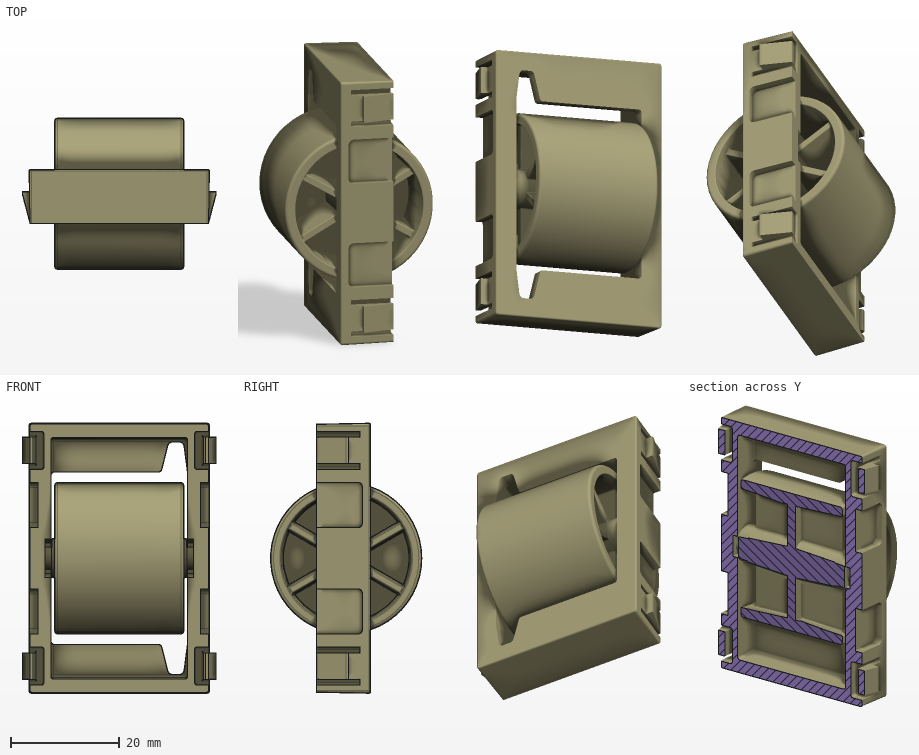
import cadquery as cq
import math

FRAME_WIDTH = 33.4
FRAME_HEIGHT = 50.0
BACK_Y = 4.5
FRONT_Y = -5.5
FRAME_DEPTH = BACK_Y - FRONT_Y
FRAME_DRAFT = 1.1
FRAME_CORNER_RADIUS = 0.5
BACK_EDGE_RADIUS = 0.3
SIDE_X = FRAME_WIDTH / 2

WINDOW_WIDTH = 25.25
WINDOW_HEIGHT = 44.7
WINDOW_BACK_HEIGHT = 44.1
WINDOW_RADIUS = 0.45
PLATE_THICKNESS = 2.5
PLATE_EDGE_Z = 15.95
PLATE_FRONT_Y = BACK_Y - PLATE_THICKNESS

NOTCH_END_Z = 21.5
NOTCH_MOUTH_X = 7.75
NOTCH_END_X = (9.15, 11.9)
NOTCH_END_RADIUS = 0.85
NOTCH_MOUTH_RADIUS = 0.6

POCKET_DEPTH = 1.7
POCKET_HEIGHT = 8.4
POCKET_CENTER_Z = 9.85
POCKET_END_Y = 3.05
POCKET_RADIUS = 1.0

CLIP_CENTER_Z = 19.95
RECESS_HEIGHT = 7.05
RECESS_DEPTH = 2.75
RECESS_END_Y = 2.6
RECESS_RADIUS = 0.5
RECESS_END_RADIUS = 0.15
ARM_HEIGHT = 4.9
ARM_INNER_X = 15.6
ARM_TIP_INNER_X = 15.95
ARM_TIP_OUTER_X = 16.5
ARM_TIP_TAPER_LENGTH = 0.35
ARM_ROOT_RADIUS = 0.3
BARB_X = 17.95
BARB_Y = 0.4
BARB_LAND = 0.4

AXLE_RADIUS = 2.05
AXLE_LENGTH = 27.4
SLOT_MOUTH_HEIGHT = 7.2
SLOT_STEP_HEIGHT = 5.7
SLOT_MOUTH_DEPTH = 2.5

ROLLER_RADIUS = 14.0
ROLLER_LENGTH = 23.9
ROLLER_EDGE_RADIUS = 0.55
RIM_INNER_RADIUS = 12.1
RIM_EDGE_RADIUS = 0.2
HUB_RADIUS = 3.6
HUB_LENGTH = 25.0
SPOKE_COUNT = 6
SPOKE_WIDTH = 1.3
SPOKE_RECESS = 1.85
SPOKE_EDGE_RADIUS = 0.15
SPOKE_END_RADIUS = 0.25
SPOKE_FACE_X = ROLLER_LENGTH / 2 - SPOKE_RECESS
INNER_DRAFT = 2.5
INNER_SLOPE = math.tan(math.radians(INNER_DRAFT))
WEB_THICKNESS = 2.0
WEB_X = WEB_THICKNESS / 2


def block(x_range, y_range, z_range):
    """Axis-aligned box between the given limits."""
    size = [high - low for low, high in (x_range, y_range, z_range)]
    corner = (x_range[0], y_range[0], z_range[0])
    return cq.Workplane("XY").box(*size, centered=False).translate(corner)


def centred_cylinder(radius, length):
    """Cylinder along the X axis, centred on the origin."""
    return cq.Workplane("YZ", origin=(-length / 2, 0, 0)).circle(radius).extrude(length)


def frame_blank():
    """Drafted block with rounded corners, enlarged so that it is full size at the rounded back edge."""
    draft = math.radians(FRAME_DRAFT)
    growth = 2 * BACK_EDGE_RADIUS * (math.tan(draft) + 1 / math.cos(draft) - 1)
    outline = cq.Sketch().rect(FRAME_WIDTH + growth, FRAME_HEIGHT + growth)
    outline = outline.vertices().fillet(FRAME_CORNER_RADIUS)
    blank = cq.Workplane("XZ", origin=(0, BACK_Y, 0)).placeSketch(outline)
    blank = blank.extrude(FRAME_DEPTH, taper=FRAME_DRAFT)
    return blank.faces(">Y").edges().fillet(BACK_EDGE_RADIUS)


def window_cutter():
    """Front window, narrowing in height down to the plates, plus the opening between the plates."""
    front = (
        cq.Workplane("YZ", origin=(-WINDOW_WIDTH / 2, 0, 0))
        .moveTo(FRONT_Y, -WINDOW_HEIGHT / 2)
        .lineTo(PLATE_FRONT_Y, -WINDOW_BACK_HEIGHT / 2)
        .lineTo(PLATE_FRONT_Y, WINDOW_BACK_HEIGHT / 2)
        .lineTo(FRONT_Y, WINDOW_HEIGHT / 2)
        .close()
        .extrude(WINDOW_WIDTH)
    )
    front = front.edges("|Z and >Y").fillet(WINDOW_RADIUS)
    front = front.edges("not #Y").edges("not >Y").fillet(WINDOW_RADIUS)
    opening = block(
        (-WINDOW_WIDTH / 2, WINDOW_WIDTH / 2),
        (FRONT_Y, BACK_Y),
        (-PLATE_EDGE_Z, PLATE_EDGE_Z),
    )
    return front.union(opening)


def notch_cutter():
    """Tapered notch through the upper plate."""
    wall_x = WINDOW_WIDTH / 2
    notch = (
        cq.Workplane("XZ", origin=(0, BACK_Y, 0))
        .moveTo(NOTCH_MOUTH_X, PLATE_EDGE_Z)
        .lineTo(NOTCH_END_X[0], NOTCH_END_Z)
        .lineTo(NOTCH_END_X[1], NOTCH_END_Z)
        .lineTo(wall_x, PLATE_EDGE_Z)
        .close()
        .extrude(PLATE_THICKNESS + WINDOW_RADIUS)
    )
    return notch.edges("|Y and >Z").fillet(NOTCH_END_RADIUS)


def side_pocket_cutter(center_z):
    """Pocket in the +X side wall with rounded inner corners."""
    pocket = block(
        (SIDE_X - POCKET_DEPTH, SIDE_X),
        (FRONT_Y, POCKET_END_Y),
        (center_z - POCKET_HEIGHT / 2, center_z + POCKET_HEIGHT / 2),
    )
    return pocket.edges("|X and >Y").fillet(POCKET_RADIUS)


def clip_arm(center_z):
    """Space of the cantilever arm inside its recess, with a thinned tip."""
    return (
        cq.Workplane("XY", origin=(0, 0, center_z - ARM_HEIGHT / 2))
        .moveTo(ARM_INNER_X, RECESS_END_Y)
        .lineTo(ARM_INNER_X, FRONT_Y + ARM_TIP_TAPER_LENGTH)
        .lineTo(ARM_TIP_INNER_X, FRONT_Y)
        .lineTo(SIDE_X, FRONT_Y)
        .lineTo(SIDE_X, RECESS_END_Y)
        .close()
        .extrude(ARM_HEIGHT)
    )


def clip_barb(center_z):
    """Ramped barb on the outer side of a clip arm."""
    return (
        cq.Workplane("XY", origin=(0, 0, center_z - ARM_HEIGHT / 2))
        .moveTo(ARM_TIP_INNER_X, FRONT_Y)
        .lineTo(ARM_TIP_OUTER_X, FRONT_Y)
        .lineTo(BARB_X, BARB_Y - BARB_LAND)
        .lineTo(BARB_X, BARB_Y)
        .lineTo(ARM_TIP_INNER_X, BARB_Y)
        .close()
        .extrude(ARM_HEIGHT)
    )


def clip_recess_cutter(center_z):
    """U-shaped recess that frees a clip arm from the +X wall, rounded at its end and the arm's root."""
    recess = block(
        (SIDE_X - RECESS_DEPTH, SIDE_X),
        (FRONT_Y, RECESS_END_Y),
        (center_z - RECESS_HEIGHT / 2, center_z + RECESS_HEIGHT / 2),
    )
    recess = recess.edges("|Y and <X").fillet(RECESS_RADIUS)
    recess = recess.faces(">Y").edges("not >X").fillet(RECESS_END_RADIUS)
    recess = recess.cut(clip_arm(center_z))
    margin = RECESS_END_RADIUS
    arm_root = cq.selectors.BoxSelector(
        (ARM_INNER_X - margin, RECESS_END_Y - margin, center_z - ARM_HEIGHT / 2 - margin),
        (SIDE_X, RECESS_END_Y + margin, center_z + ARM_HEIGHT / 2 + margin),
    )
    return recess.edges(arm_root).edges("#Y").fillet(ARM_ROOT_RADIUS)


def axle_slot_cutter():
    """Slot in the +X side wall: flared mouth, step, then a round-ended channel for the axle."""
    inner_x = WINDOW_WIDTH / 2
    depth = AXLE_LENGTH / 2 - inner_x
    step_y = FRONT_Y + SLOT_MOUTH_DEPTH
    mouth = (
        cq.Workplane("YZ", origin=(inner_x, 0, 0))
        .moveTo(FRONT_Y, -SLOT_MOUTH_HEIGHT / 2)
        .lineTo(step_y, -SLOT_STEP_HEIGHT / 2)
        .lineTo(step_y, SLOT_STEP_HEIGHT / 2)
        .lineTo(FRONT_Y, SLOT_MOUTH_HEIGHT / 2)
        .close()
        .extrude(depth)
    )
    channel = (
        cq.Workplane("YZ", origin=(inner_x, 0, 0))
        .moveTo(FRONT_Y, -AXLE_RADIUS)
        .lineTo(0, -AXLE_RADIUS)
        .threePointArc((AXLE_RADIUS, 0), (0, AXLE_RADIUS))
        .lineTo(FRONT_Y, AXLE_RADIUS)
        .close()
        .extrude(depth)
    )
    return mouth.union(channel)


def round_plate_corners(frame):
    """Round each plate edge where it meets the -X wall and where it turns into its notch."""
    for sign in (1, -1):
        for x in (-WINDOW_WIDTH / 2, NOTCH_MOUTH_X):
            corner = (x, (PLATE_FRONT_Y + BACK_Y) / 2, sign * PLATE_EDGE_Z)
            edge = cq.selectors.NearestToPointSelector(corner)
            frame = frame.edges("|Y").edges(edge).fillet(NOTCH_MOUTH_RADIUS)
    return frame


def make_frame():
    """Frame with its window, plates, side pockets, snap clips and axle slots."""
    frame = frame_blank().cut(window_cutter())
    notch = notch_cutter()
    frame = frame.cut(notch).cut(notch.mirror("XY"))
    frame = round_plate_corners(frame)
    for sign in (1, -1):
        pocket = side_pocket_cutter(sign * POCKET_CENTER_Z)
        recess = clip_recess_cutter(sign * CLIP_CENTER_Z)
        barb = clip_barb(sign * CLIP_CENTER_Z)
        for cutter in (pocket, recess):
            frame = frame.cut(cutter).cut(cutter.mirror("YZ"))
        frame = frame.union(barb).union(barb.mirror("YZ"))
    slot = axle_slot_cutter()
    return frame.cut(slot).cut(slot.mirror("YZ"))


def drafted_plug(base_radius, end_radius, end_x):
    """Cone frustum about the X axis, from the web out to end_x."""
    profile = cq.Workplane("XZ").polyline(
        [(WEB_X, 0), (WEB_X, base_radius), (end_x, end_radius), (end_x, 0)]
    )
    return profile.close().revolve(360, (0, 0, 0), (1, 0, 0))


def hub_end():
    """Drafted +X end of the hub, widening from its tip down to the web."""
    tip_x = HUB_LENGTH / 2
    base_radius = HUB_RADIUS + (tip_x - WEB_X) * INNER_SLOPE
    return drafted_plug(base_radius, HUB_RADIUS, tip_x)


def rim_bore():
    """Drafted bore of the +X half of the rim, narrowing from the rim face down to the web."""
    face_x = ROLLER_LENGTH / 2
    floor_radius = RIM_INNER_RADIUS - (face_x - WEB_X) * INNER_SLOPE
    return drafted_plug(floor_radius, RIM_INNER_RADIUS, face_x)


def spoke_pair():
    """Drafted bar across the +X half of the roller: two opposite spokes lying along Z."""
    length = RIM_INNER_RADIUS + ROLLER_RADIUS - ROLLER_EDGE_RADIUS
    bar = cq.Workplane("YZ", origin=(SPOKE_FACE_X, 0, 0)).rect(SPOKE_WIDTH, length)
    bar = bar.extrude(WEB_X - SPOKE_FACE_X, taper=-INNER_DRAFT)
    return bar.edges(">X and |Z").fillet(SPOKE_EDGE_RADIUS)


def is_spoke_end(edge):
    """True for the edges along the roller's depth where spokes run into the hub or the rim."""
    length = edge.BoundingBox().xlen
    return (SPOKE_FACE_X - WEB_X) / 2 < length < SPOKE_FACE_X - WEB_X / 2


def make_roller():
    """Roller with a central web and, on each side of it, a hub end and six spokes."""
    roller = centred_cylinder(ROLLER_RADIUS, ROLLER_LENGTH).edges("%CIRCLE").fillet(ROLLER_EDGE_RADIUS)
    bore = rim_bore()
    roller = roller.cut(bore).cut(bore.mirror("YZ"))
    bore_edges = roller.faces("<X or >X").edges("%CIRCLE").edges(cq.selectors.RadiusNthSelector(0))
    roller = bore_edges.fillet(RIM_EDGE_RADIUS)
    inside = hub_end()
    for index in range(SPOKE_COUNT // 2):
        spokes = spoke_pair().rotate((0, 0, 0), (1, 0, 0), index * 360 / SPOKE_COUNT)
        inside = inside.union(spokes)
    roller = roller.union(inside).union(inside.mirror("YZ"))
    spoke_ends = [edge for edge in roller.edges().vals() if is_spoke_end(edge)]
    roller = roller.newObject(spoke_ends).fillet(SPOKE_END_RADIUS)
    return roller.cut(make_axle())


def make_axle():
    """Plain round axle through the roller, seated in both side walls."""
    return centred_cylinder(AXLE_RADIUS, AXLE_LENGTH)


frame = make_frame()
roller = make_roller()
axle = make_axle()

result = cq.Compound.makeCompound([frame.val(), roller.val(), axle.val()])